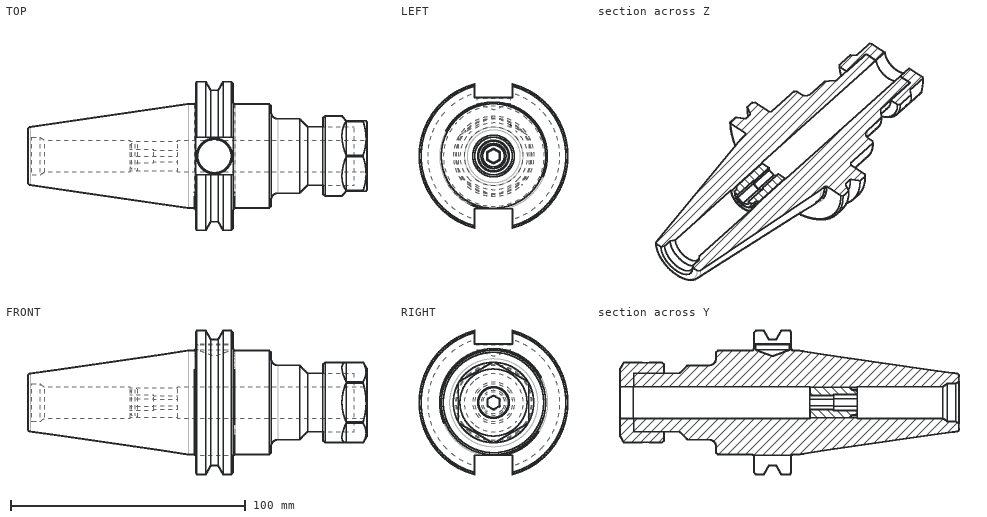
import cadquery as cq
import math

OVERALL_LENGTH = 144.6
HEX_SIDES = 6

TAPER_LENGTH = 68.4
TAPER_LARGE_DIA = 44.5
TAPER_RATIO = 7 / 24
TAPER_SMALL_DIA = TAPER_LARGE_DIA - TAPER_RATIO * TAPER_LENGTH
SMALL_END_ROUND = 1.2

FLANGE_START = 71.5
FLANGE_WIDTH = 15.9
FLANGE_CENTER = FLANGE_START + FLANGE_WIDTH / 2
FLANGE_END = FLANGE_START + FLANGE_WIDTH
FLANGE_DIA = 63.5
FLANGE_BACK_CHAMFER_LENGTH = 0.5
FLANGE_BACK_CHAMFER_DEPTH = 0.9
FLANGE_FRONT_CHAMFER = 0.9
FLANGE_ROOT_FILLET = 0.7
V_GROOVE_DIA = 56.2
V_GROOVE_FLOOR_WIDTH = 3.2
V_GROOVE_FLANK_ANGLE = 30.0

SLOT_WIDTH = 16.0
TOP_SLOT_FLOOR = 25.0
BOTTOM_SLOT_FLOOR = 22.5

POCKET_DIA = 14.3
POCKET_CHAMFER = 0.5
POCKET_WALL_DEPTH = 2.6
POCKET_POINT_ANGLE = 140.0

COLLAR_END = 103.7
COLLAR_FRONT_CHAMFER = 0.9
SHOULDER_DIA = 31.8
SHOULDER_FILLET = 2.9
SHOULDER_END = 115.8
NECK_DIA = 25.0

MOUTH_DIA = 17.8
PILOT_DIA = 16.0
MOUTH_LENGTH = 1.5
PILOT_END = 5.0
PILOT_CONE_LENGTH = 1.9
BORE_DIA = 13.5

SCREW_DIA = 12.7
SCREW_START = 43.4
SCREW_LENGTH = 20.2
SCREW_END = SCREW_START + SCREW_LENGTH
SCREW_TIP_DIA = 10.7
SCREW_TIP_LENGTH = 2.2
SCREW_TIP_CHAMFER = 0.7
SCREW_BACK_HEX_FLATS = 5.8
SCREW_BACK_HEX_DEPTH = SCREW_LENGTH / 2
SCREW_THROUGH_HEX_FLATS = 5.0

NUT_START = 125.8
NUT_DIA = 34.3
NUT_BACK_CHAMFER = 0.9
NUT_FACE_DIA = 28.6
NUT_FRONT_ANGLE = 30.0
NUT_FLATS = 30.1
NUT_FLAT_START = 135.6
NUT_FLAT_RUN_OUT_ANGLE = 40.0
NUT_SEAT_END = 138.8


def revolve_about_x(profile):
    """Turn a closed profile, drawn as (x, radius), about the X axis."""
    return profile.close().revolve(360, (0, 0, 0), (1, 0, 0))


def bar(start, end, dia):
    """Round bar along the X axis."""
    return cq.Workplane("YZ", origin=(start, 0, 0)).circle(dia / 2).extrude(end - start)


def make_holder_blank():
    collar_radius = TAPER_LARGE_DIA / 2
    shoulder_radius = SHOULDER_DIA / 2
    neck_radius = NECK_DIA / 2
    fillet_mid = SHOULDER_FILLET * (1 - math.sqrt(0.5))
    fillet_end = COLLAR_END + SHOULDER_FILLET
    profile = (
        cq.Workplane("XY")
        .lineTo(0, TAPER_SMALL_DIA / 2)
        .lineTo(TAPER_LENGTH, collar_radius)
        .lineTo(FLANGE_START - FLANGE_ROOT_FILLET, collar_radius)
        .radiusArc((FLANGE_START, collar_radius + FLANGE_ROOT_FILLET), -FLANGE_ROOT_FILLET)
        .lineTo(FLANGE_END, collar_radius + FLANGE_ROOT_FILLET)
        .radiusArc((FLANGE_END + FLANGE_ROOT_FILLET, collar_radius), -FLANGE_ROOT_FILLET)
        .lineTo(COLLAR_END - COLLAR_FRONT_CHAMFER, collar_radius)
        .lineTo(COLLAR_END, collar_radius - COLLAR_FRONT_CHAMFER)
        .lineTo(COLLAR_END, shoulder_radius + SHOULDER_FILLET)
        .threePointArc(
            (COLLAR_END + fillet_mid, shoulder_radius + fillet_mid),
            (fillet_end, shoulder_radius),
        )
        .lineTo(SHOULDER_END, shoulder_radius)
        .lineTo(SHOULDER_END + shoulder_radius - neck_radius, neck_radius)
        .lineTo(NUT_SEAT_END, neck_radius)
        .lineTo(NUT_SEAT_END, 0)
    )
    return revolve_about_x(profile).faces("<X").edges().fillet(SMALL_END_ROUND)


def make_flange():
    outer = FLANGE_DIA / 2
    floor = V_GROOVE_DIA / 2
    floor_half = V_GROOVE_FLOOR_WIDTH / 2
    rim_half = floor_half + (outer - floor) * math.tan(math.radians(V_GROOVE_FLANK_ANGLE))
    profile = (
        cq.Workplane("XY")
        .moveTo(FLANGE_START, 0)
        .lineTo(FLANGE_START, outer - FLANGE_BACK_CHAMFER_DEPTH)
        .lineTo(FLANGE_START + FLANGE_BACK_CHAMFER_LENGTH, outer)
        .lineTo(FLANGE_CENTER - rim_half, outer)
        .lineTo(FLANGE_CENTER - floor_half, floor)
        .lineTo(FLANGE_CENTER + floor_half, floor)
        .lineTo(FLANGE_CENTER + rim_half, outer)
        .lineTo(FLANGE_END - FLANGE_FRONT_CHAMFER, outer)
        .lineTo(FLANGE_END, outer - FLANGE_FRONT_CHAMFER)
        .lineTo(FLANGE_END, 0)
    )
    return revolve_about_x(profile)


def make_drive_slot(floor_distance, side):
    """Cutter for a slot above (side = 1) or below (side = -1) the axis, through the root fillets."""
    length = FLANGE_WIDTH + 2 * FLANGE_ROOT_FILLET
    height = FLANGE_DIA / 2
    center_z = side * (floor_distance + height / 2)
    return cq.Workplane("XY", origin=(FLANGE_CENTER, 0, center_z)).box(length, SLOT_WIDTH, height)


def make_pocket():
    """Cutter for the drilled pocket: edge chamfer, short wall and conical bottom."""
    radius = POCKET_DIA / 2
    point_depth = radius / math.tan(math.radians(POCKET_POINT_ANGLE / 2))
    return (
        cq.Workplane("XZ")
        .lineTo(radius + POCKET_CHAMFER, 0)
        .lineTo(radius, -POCKET_CHAMFER)
        .lineTo(radius, -POCKET_WALL_DEPTH)
        .lineTo(0, -POCKET_WALL_DEPTH - point_depth)
        .close()
        .revolve(360, (0, 0, 0), (0, 1, 0))
        .translate((FLANGE_CENTER, 0, TOP_SLOT_FLOOR))
    )


def make_holder_bore():
    """Cutter for the through bore, narrowed where the stop screw sits."""
    profile = (
        cq.Workplane("XY")
        .lineTo(0, MOUTH_DIA / 2)
        .lineTo(MOUTH_LENGTH, PILOT_DIA / 2)
        .lineTo(PILOT_END, PILOT_DIA / 2)
        .lineTo(PILOT_END + PILOT_CONE_LENGTH, BORE_DIA / 2)
        .lineTo(SCREW_START, BORE_DIA / 2)
        .lineTo(SCREW_START, SCREW_DIA / 2)
        .lineTo(SCREW_END, SCREW_DIA / 2)
        .lineTo(SCREW_END, BORE_DIA / 2)
        .lineTo(NUT_SEAT_END, BORE_DIA / 2)
        .lineTo(NUT_SEAT_END, 0)
    )
    return revolve_about_x(profile)


def make_holder():
    return (
        make_holder_blank()
        .union(make_flange())
        .cut(make_drive_slot(TOP_SLOT_FLOOR, 1))
        .cut(make_drive_slot(BOTTOM_SLOT_FLOOR, -1))
        .cut(make_pocket())
        .cut(make_holder_bore())
    )


def make_screw_hex(across_flats, depth):
    """Cutter for a hexagon socket with two flats facing +Y and -Y."""
    face = cq.Workplane("YZ", origin=(SCREW_START, 0, 0))
    return face.polygon(HEX_SIDES, across_flats, circumscribed=True).extrude(depth)


def make_stop_screw():
    radius = SCREW_DIA / 2
    tip_radius = SCREW_TIP_DIA / 2
    tip_end = SCREW_START + SCREW_TIP_LENGTH
    profile = (
        cq.Workplane("XY")
        .moveTo(SCREW_START, 0)
        .lineTo(SCREW_START, tip_radius - SCREW_TIP_CHAMFER)
        .lineTo(SCREW_START + SCREW_TIP_CHAMFER, tip_radius)
        .lineTo(tip_end, tip_radius)
        .lineTo(tip_end + radius - tip_radius, radius)
        .lineTo(SCREW_END, radius)
        .lineTo(SCREW_END, 0)
    )
    back_hex = make_screw_hex(SCREW_BACK_HEX_FLATS, SCREW_BACK_HEX_DEPTH)
    through_hex = make_screw_hex(SCREW_THROUGH_HEX_FLATS, SCREW_LENGTH)
    return revolve_about_x(profile).cut(back_hex).cut(through_hex)


def make_nut_flat_cutter():
    """Cutter for the flat facing +Y, with a sloped run-out into the round."""
    flat = NUT_FLATS / 2
    outside = NUT_DIA
    run_out = (outside - flat) * math.tan(math.radians(NUT_FLAT_RUN_OUT_ANGLE))
    return (
        cq.Workplane("XY")
        .moveTo(NUT_FLAT_START, flat)
        .lineTo(NUT_FLAT_START - run_out, outside)
        .lineTo(OVERALL_LENGTH, outside)
        .lineTo(OVERALL_LENGTH, flat)
        .close()
        .extrude(NUT_DIA / 2, both=True)
    )


def make_nut():
    radius = NUT_DIA / 2
    face_radius = NUT_FACE_DIA / 2
    cone_length = (radius - face_radius) * math.tan(math.radians(NUT_FRONT_ANGLE))
    profile = (
        cq.Workplane("XY")
        .moveTo(NUT_START, 0)
        .lineTo(NUT_START, radius - NUT_BACK_CHAMFER)
        .lineTo(NUT_START + NUT_BACK_CHAMFER, radius)
        .lineTo(OVERALL_LENGTH - cone_length, radius)
        .lineTo(OVERALL_LENGTH, face_radius)
        .lineTo(OVERALL_LENGTH, 0)
    )
    nut = revolve_about_x(profile)
    flat_cutter = make_nut_flat_cutter()
    for index in range(HEX_SIDES):
        nut = nut.cut(flat_cutter.rotate((0, 0, 0), (1, 0, 0), index * 360 / HEX_SIDES))
    neck_seat = bar(NUT_START, NUT_SEAT_END, NECK_DIA)
    front_opening = bar(NUT_SEAT_END, OVERALL_LENGTH, BORE_DIA)
    return nut.cut(neck_seat).cut(front_opening)


holder = make_holder()
stop_screw = make_stop_screw()
nut = make_nut()

result = cq.Compound.makeCompound([holder.val(), stop_screw.val(), nut.val()])